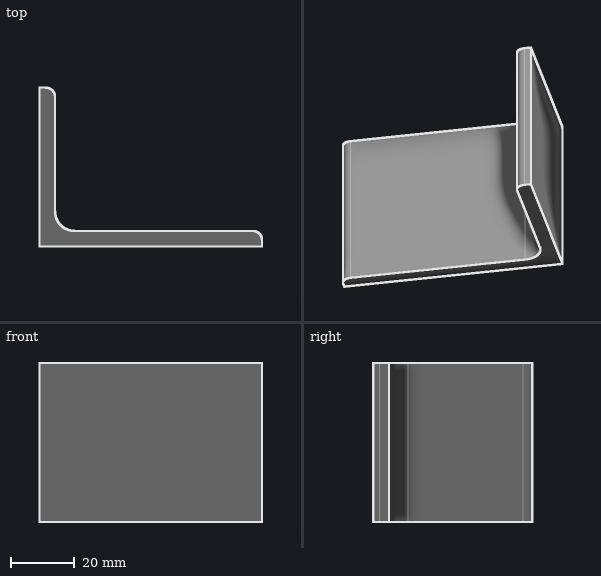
import cadquery as cq

long_leg = 70.0
short_leg = 50.0
length = 50.0
thickness = 5.0
root_radius = 6.0
toe_radius = 3.0


def angle_blank():
    """Sharp-cornered L-shaped bar with its heel on the Z axis."""
    return (
        cq.Workplane("XY")
        .moveTo(0, 0)
        .lineTo(long_leg, 0)
        .lineTo(long_leg, thickness)
        .lineTo(thickness, thickness)
        .lineTo(thickness, short_leg)
        .lineTo(0, short_leg)
        .close()
        .extrude(length)
    )


def round_upright_edge(body, x, y, radius):
    """Fillet the edge parallel to Z that passes through (x, y)."""
    edge_middle = (x, y, length / 2)
    return body.edges(cq.selectors.NearestToPointSelector(edge_middle)).fillet(radius)


result = angle_blank()
result = round_upright_edge(result, thickness, thickness, root_radius)
result = round_upright_edge(result, long_leg, thickness, toe_radius)
result = round_upright_edge(result, thickness, short_leg, toe_radius)